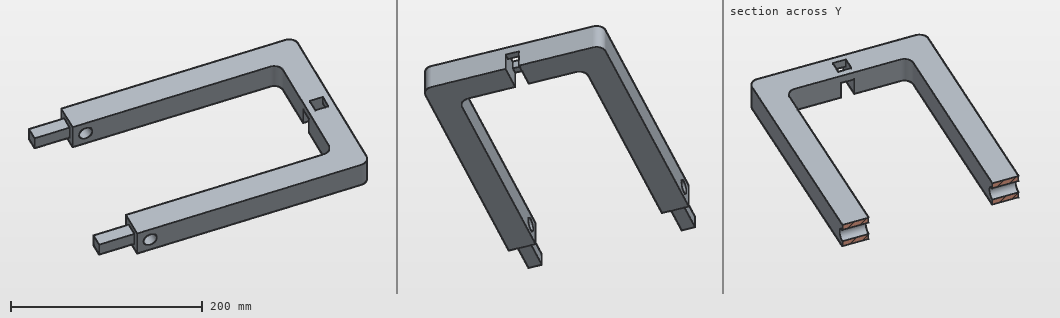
import cadquery as cq

width = 200.0
length = 305.0
bar = 30.0
corner_radius = 10.0

peg_length = 40.0
peg_side = 15.0

window_side = 15.0
notch_width = 15.0
notch_height = 20.0
hole_diameter = 15.0
hole_setback = 15.0

arm_end = peg_length
crossbar_front = length - bar
crossbar_center = length - bar / 2
arm_center = (width - bar) / 2


def block(size_x, size_y, size_z, y_start, z_start, x_center=0):
    """Box centred on x_center, starting at y_start and z_start."""
    box = cq.Workplane("XY").box(size_x, size_y, size_z, centered=(True, False, False))
    return box.translate((x_center, y_start, z_start))


def make_frame():
    """U-shaped frame with rounded outer and inner corners."""
    outer = block(width, length - arm_end, bar, arm_end, 0)
    outer = outer.edges("|Z and >Y").fillet(corner_radius)
    inner = block(width - 2 * bar, crossbar_front - arm_end, bar, arm_end, 0)
    inner = inner.edges("|Z and >Y").fillet(corner_radius)
    return outer.cut(inner)


result = make_frame()

for side in (-1, 1):
    peg = block(peg_side, peg_length, peg_side, 0, (bar - peg_side) / 2, side * arm_center)
    result = result.union(peg)

window = block(window_side, window_side, bar, crossbar_center - window_side / 2, 0)
result = result.cut(window)

notch = block(notch_width, bar, notch_height, crossbar_front, 0)
result = result.cut(notch)

cross_hole = (
    cq.Workplane("YZ", origin=(0, arm_end + hole_setback, bar / 2))
    .circle(hole_diameter / 2)
    .extrude(width / 2, both=True)
)
result = result.cut(cross_hole)